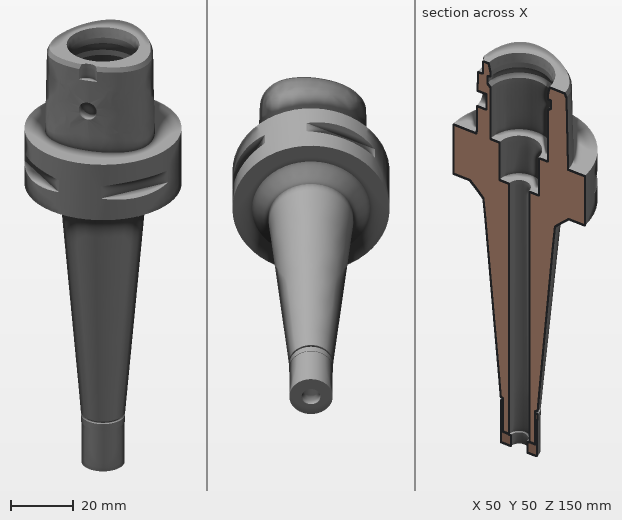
import cadquery as cq
import math

TOTAL_LENGTH = 150.0
SHANK_LENGTH = 30.0
FLANGE_HEIGHT = 20.0
NECK_CONE_HEIGHT = 5.1
FLANGE_TOP = TOTAL_LENGTH - SHANK_LENGTH
FLANGE_BOTTOM = FLANGE_TOP - FLANGE_HEIGHT
TAPER_TOP = FLANGE_BOTTOM - NECK_CONE_HEIGHT
TAPER_BOTTOM = 18.0

FLANGE_RADIUS = 50.0 / 2
NECK_CONE_RADIUS = 18.8
TAPER_TOP_RADIUS = NECK_CONE_RADIUS - NECK_CONE_HEIGHT
TAPER_BOTTOM_RADIUS = 7.0

LOBE_BASE_RADIUS = 17.4
LOBE_TOP_RADIUS = 16.8
LOBE_ECCENTRICITY = 1.2
LOBE_CHAMFER_HEIGHT = 1.5
LOBE_CHAMFER_INSET = 0.8
LOBE_POINTS = 36

MOUTH_RADIUS = 11.5
MOUTH_CONE_DEPTH = 3.3
BORE_RADIUS = 10.8
GROOVE_RADIUS = 12.0
GROOVE_TOP_DEPTH = 5.2
GROOVE_WALL_DEPTH = 8.2
GROOVE_END_DEPTH = GROOVE_WALL_DEPTH + GROOVE_RADIUS - BORE_RADIUS
BORE_DEPTH = SHANK_LENGTH
STEP_RADIUS = 7.4
STEP_DEPTH = 45.0
CHANNEL_RADIUS = 3.8

NOTCH_RADIUS = 3.5
NOTCH_CENTER_Y = -17.2
NOTCH_DEPTH = 5.1
RECESS_RADIUS = 3.0
RECESS_LEVEL = 134.1
RECESS_DEPTH = 3.8

SLOT_COUNT = 4
SLOT_FIRST_ANGLE = 45.0
SLOT_FLOOR_DISTANCE = 21.9
SLOT_FLOOR_HEIGHT = 4.4
SLOT_OUTER_HEIGHT = 6.3

NUT_HEIGHT = 17.1
NUT_RADIUS = 6.9
NUT_COLLAR_RADIUS = TAPER_BOTTOM_RADIUS
NUT_COLLAR_BOTTOM = 14.8
NUT_HOLE_RADIUS = 3.0
SPIGOT_RADIUS = 6.2
SPIGOT_BOTTOM = 4.5


def lobed_wire(mean_radius, level):
    """Closed three-lobed curve with one lobe pointing to +Y."""
    points = []
    for index in range(LOBE_POINTS):
        angle = 2 * math.pi * index / LOBE_POINTS
        along_y = mean_radius * math.cos(angle) + LOBE_ECCENTRICITY * math.cos(2 * angle)
        along_x = LOBE_ECCENTRICITY * math.sin(2 * angle) - mean_radius * math.sin(angle)
        points.append(cq.Vector(along_x, along_y, level))
    return cq.Wire.assembleEdges([cq.Edge.makeSpline(points, periodic=True)])


def make_shank():
    """Tapered three-lobed shank with a chamfered top rim."""
    chamfer_level = TOTAL_LENGTH - LOBE_CHAMFER_HEIGHT
    base = lobed_wire(LOBE_BASE_RADIUS, FLANGE_TOP)
    rim = lobed_wire(LOBE_TOP_RADIUS, chamfer_level)
    top = lobed_wire(LOBE_TOP_RADIUS - LOBE_CHAMFER_INSET, TOTAL_LENGTH)
    tapered = cq.Workplane(obj=cq.Solid.makeLoft([base, rim], True))
    chamfered = cq.Workplane(obj=cq.Solid.makeLoft([rim, top], True))
    return tapered.union(chamfered)


def make_turned_body():
    """Flange, neck cone, long taper and spigot, turned about Z."""
    profile = [
        (0, SPIGOT_BOTTOM),
        (SPIGOT_RADIUS, SPIGOT_BOTTOM),
        (SPIGOT_RADIUS, TAPER_BOTTOM),
        (TAPER_BOTTOM_RADIUS, TAPER_BOTTOM),
        (TAPER_TOP_RADIUS, TAPER_TOP),
        (NECK_CONE_RADIUS, FLANGE_BOTTOM),
        (FLANGE_RADIUS, FLANGE_BOTTOM),
        (FLANGE_RADIUS, FLANGE_TOP),
        (0, FLANGE_TOP),
    ]
    return cq.Workplane("XZ").polyline(profile).close().revolve(360, (0, 0), (0, 1))


def make_bore():
    """Stepped bore with a conical mouth above a groove that closes in at 45 degrees."""
    cone_bottom = TOTAL_LENGTH - MOUTH_CONE_DEPTH
    groove_top = TOTAL_LENGTH - GROOVE_TOP_DEPTH
    groove_wall_bottom = TOTAL_LENGTH - GROOVE_WALL_DEPTH
    groove_end = TOTAL_LENGTH - GROOVE_END_DEPTH
    bore_floor = TOTAL_LENGTH - BORE_DEPTH
    step_floor = TOTAL_LENGTH - STEP_DEPTH
    profile = [
        (0, TOTAL_LENGTH),
        (MOUTH_RADIUS, TOTAL_LENGTH),
        (BORE_RADIUS, cone_bottom),
        (BORE_RADIUS, groove_top),
        (GROOVE_RADIUS, groove_top),
        (GROOVE_RADIUS, groove_wall_bottom),
        (BORE_RADIUS, groove_end),
        (BORE_RADIUS, bore_floor),
        (STEP_RADIUS, bore_floor),
        (STEP_RADIUS, step_floor),
        (CHANNEL_RADIUS, step_floor),
        (CHANNEL_RADIUS, SPIGOT_BOTTOM),
        (0, SPIGOT_BOTTOM),
    ]
    return cq.Workplane("XZ").polyline(profile).close().revolve(360, (0, 0), (0, 1))


def make_notch():
    """Key notch with a round back, open at the top of the shank."""
    notch = cq.Workplane("XY", origin=(0, NOTCH_CENTER_Y, TOTAL_LENGTH - NOTCH_DEPTH))
    return notch.circle(NOTCH_RADIUS).extrude(NOTCH_DEPTH)


def make_recess():
    """Blind round recess sunk into the -Y flank of the shank."""
    floor_y = -(LOBE_BASE_RADIUS - LOBE_ECCENTRICITY - RECESS_DEPTH)
    recess = cq.Workplane("XZ", origin=(0, floor_y, RECESS_LEVEL))
    return recess.circle(RECESS_RADIUS).extrude(FLANGE_RADIUS + floor_y)


def make_slot(angle):
    """Flat-bottomed slot across the flange, with sides that flare outward."""
    middle = (FLANGE_TOP + FLANGE_BOTTOM) / 2
    half_floor = SLOT_FLOOR_HEIGHT / 2
    half_outer = SLOT_OUTER_HEIGHT / 2
    profile = [
        (SLOT_FLOOR_DISTANCE, middle - half_floor),
        (FLANGE_RADIUS, middle - half_outer),
        (FLANGE_RADIUS, middle + half_outer),
        (SLOT_FLOOR_DISTANCE, middle + half_floor),
    ]
    slot = cq.Workplane("XZ").polyline(profile).close().extrude(FLANGE_RADIUS, both=True)
    return slot.rotate((0, 0, 0), (0, 0, 1), angle)


def make_holder():
    """Tool holder: shank, flange, taper and spigot in one piece."""
    holder = make_turned_body().union(make_shank())
    holder = holder.cut(make_bore()).cut(make_notch()).cut(make_recess())
    for index in range(SLOT_COUNT):
        holder = holder.cut(make_slot(SLOT_FIRST_ANGLE + index * 360 / SLOT_COUNT))
    return holder


def make_nut():
    """Round nut with a slightly wider collar and a socket for the spigot."""
    profile = [
        (NUT_HOLE_RADIUS, 0),
        (NUT_RADIUS, 0),
        (NUT_RADIUS, NUT_COLLAR_BOTTOM),
        (NUT_COLLAR_RADIUS, NUT_COLLAR_BOTTOM),
        (NUT_COLLAR_RADIUS, NUT_HEIGHT),
        (SPIGOT_RADIUS, NUT_HEIGHT),
        (SPIGOT_RADIUS, SPIGOT_BOTTOM),
        (NUT_HOLE_RADIUS, SPIGOT_BOTTOM),
    ]
    return cq.Workplane("XZ").polyline(profile).close().revolve(360, (0, 0), (0, 1))


holder = make_holder()
nut = make_nut()
result = cq.Compound.makeCompound([holder.val(), nut.val()])